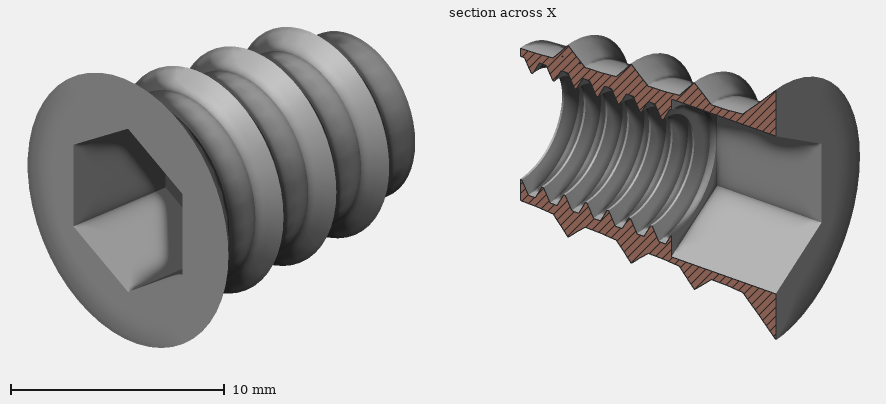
import cadquery as cq
import math

length = 14.7

head_radius = 6.76
head_depth = 1.93
neck_radius = 4.82
tip_radius = 4.12
ridge_count = 3
ridge_pitch = 3.63
first_ridge_start = 3.72
ridge_rise = 0.98
ridge_fall = 0.87
ridge_height = 0.93

hex_across_flats = 7.35
hex_depth = 6.0

bore_radius = 2.95
groove_radius = 3.66
thread_pitch = 1.25
flank_turn = 110.0
root_turn = 110.0
root_angle = 68.0
groove_overlap = 0.01


def body_radius(y):
    """Radius of the tapered body at distance y from the head face."""
    fraction = (y - head_depth) / (length - head_depth)
    return neck_radius + fraction * (tip_radius - neck_radius)


def make_body():
    """Countersunk head and tapered body with ridges, revolved about Y."""
    outline = [(0, 0), (head_radius, 0), (neck_radius, head_depth)]
    for index in range(ridge_count):
        start = first_ridge_start + index * ridge_pitch
        crest = start + ridge_rise
        end = crest + ridge_fall
        outline.append((body_radius(start), start))
        outline.append((body_radius(crest) + ridge_height, crest))
        outline.append((body_radius(end), end))
    outline += [(tip_radius, length), (0, length)]
    return cq.Workplane("XY").polyline(outline).close().revolve(360, (0, 0, 0), (0, 1, 0))


def make_socket():
    hex_diameter = hex_across_flats / math.cos(math.radians(30))
    return (
        cq.Workplane("XZ")
        .transformed(rotate=(0, 0, 90))
        .polygon(6, hex_diameter)
        .extrude(-hex_depth)
    )


def make_bore():
    return cq.Workplane("XZ").circle(bore_radius).extrude(-length)


def make_thread_groove():
    """Right-hand helical groove, running one turn past both ends of the bore."""
    bore_length = length - hex_depth
    inner_radius = bore_radius - groove_overlap
    flank_width = thread_pitch * flank_turn / 360
    root_half = thread_pitch * root_turn / 360 / 2
    flank_slope = flank_width / (groove_radius - bore_radius)
    mouth_half = root_half + flank_slope * (groove_radius - inner_radius)
    helix = cq.Wire.makeHelix(thread_pitch, bore_length + 2 * thread_pitch, inner_radius)
    groove = (
        cq.Workplane("XZ")
        .polyline([
            (inner_radius, -mouth_half),
            (groove_radius, -root_half),
            (groove_radius, root_half),
            (inner_radius, mouth_half),
        ])
        .close()
        .sweep(cq.Workplane(helix), isFrenet=True)
    )
    start_angle = root_angle - 360 * bore_length / thread_pitch
    return (
        groove.translate((0, 0, -thread_pitch))
        .rotate((0, 0, 0), (0, 0, 1), start_angle)
        .rotate((0, 0, 0), (1, 0, 0), 90)
        .translate((0, length, 0))
    )


result = make_body().cut(make_bore()).cut(make_thread_groove()).cut(make_socket())